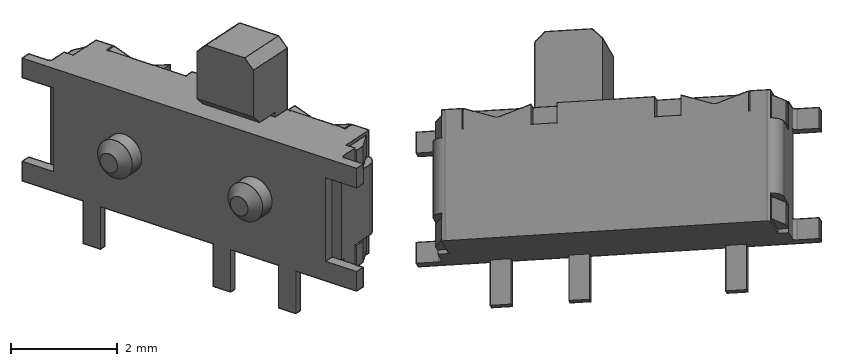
import cadquery as cq

plate_length = 7.7
plate_thickness = 0.215
housing_length = 6.7
housing_depth = 1.4
housing_height = 2.6
back_corner_radius = 0.28
tab_root_radius = 0.08
tab_height = 0.415
notch_floor_x = 3.135

peg_diameter = 0.8
peg_tip_diameter = 0.4
peg_length = 0.5
peg_cone_length = 0.2
peg_spacing = 3.0

pin_positions = (-2.25, 0.75, 2.25)
pin_width = 0.4
pin_thickness = 0.15
pin_length = 0.9

actuator_left = 0.1
actuator_width = 1.3
actuator_height = 1.49
actuator_front = 0.1
actuator_back = 1.2
actuator_chamfer = 0.2
stem_front = 0.8
stem_height = 0.1

pocket_floor_x = 3.14
pocket_depth = 0.75
pocket_height = 0.555
latch_height = 0.45
latch_edge_gap = 0.07
latch_ramp_start = 0.09
latch_ramp_end = 0.49
latch_end = 0.7

recess_outer_x = 2.75
recess_inner_x = 0.93
recess_width = 0.21
recess_floor_depth = 0.4
tooth_gap = 0.02
tooth_length = 1.29
tooth_valley_depth = 0.22
tooth_valley_radius = 0.2


def box(x_range, y_range, z_range):
    """Axis-aligned block spanning the three given ranges."""
    lengths = [high - low for low, high in (x_range, y_range, z_range)]
    corner = (x_range[0], y_range[0], z_range[0])
    return cq.Workplane("XY").box(*lengths, centered=False).translate(corner)


def mirror_pair(right_half):
    """The given solid together with its mirror image across X = 0."""
    return right_half.union(right_half.mirror("YZ"))


def make_housing():
    plate = box(
        (-plate_length / 2, plate_length / 2), (0, plate_thickness), (0, housing_height)
    )
    block = box(
        (-housing_length / 2, housing_length / 2), (0, housing_depth), (0, housing_height)
    )
    housing = plate.union(block)
    housing = housing.edges("|Z and >Y").fillet(back_corner_radius)
    margin = 0.08
    root_edges = cq.selectors.BoxSelector(
        (-housing_length / 2 - margin, plate_thickness - margin, -margin),
        (housing_length / 2 + margin, plate_thickness + margin, housing_height + margin),
    )
    housing = housing.edges("|Z").edges(root_edges).fillet(tab_root_radius)

    tab_z = (tab_height, housing_height - tab_height)
    plate_notch = box((notch_floor_x, plate_length / 2), (0, plate_thickness), tab_z)
    root_notch = box(
        (housing_length / 2, plate_length / 2), (0, plate_thickness + tab_root_radius), tab_z
    )
    return housing.cut(mirror_pair(plate_notch.union(root_notch)))


def make_corner_pockets():
    pocket_y = (housing_depth - pocket_depth, housing_depth)
    pocket_x = (pocket_floor_x, housing_length / 2)
    lower = box(pocket_x, pocket_y, (0, pocket_height))
    upper = lower.translate((0, 0, housing_height - pocket_height))
    return mirror_pair(lower.union(upper))


def make_corner_latches():
    lower = (
        cq.Workplane("XY", origin=(0, 0, latch_edge_gap))
        .moveTo(pocket_floor_x, housing_depth - latch_ramp_start)
        .lineTo(housing_length / 2, housing_depth - latch_ramp_end)
        .lineTo(housing_length / 2, housing_depth - latch_end)
        .lineTo(pocket_floor_x, housing_depth - latch_end)
        .close()
        .extrude(latch_height)
    )
    upper = lower.translate((0, 0, housing_height - latch_height - 2 * latch_edge_gap))
    return mirror_pair(lower.union(upper))


def make_top_recesses():
    return mirror_pair(
        box(
            (recess_inner_x, recess_outer_x),
            (housing_depth - recess_width, housing_depth),
            (housing_height - recess_floor_depth, housing_height),
        )
    )


def make_top_teeth():
    floor_z = housing_height - recess_floor_depth
    tooth_outer_x = recess_outer_x - tooth_gap
    tooth_inner_x = tooth_outer_x - tooth_length
    valley_x = (tooth_outer_x + tooth_inner_x) / 2
    valley_z = housing_height - tooth_valley_depth
    tooth = (
        cq.Workplane("XZ", origin=(0, housing_depth, 0))
        .moveTo(tooth_outer_x, floor_z)
        .lineTo(tooth_outer_x, housing_height)
        .lineTo(valley_x, valley_z)
        .lineTo(tooth_inner_x, housing_height)
        .lineTo(tooth_inner_x, floor_z)
        .close()
        .extrude(recess_width)
    )
    valley_edge = cq.selectors.NearestToPointSelector(
        (valley_x, housing_depth - recess_width / 2, valley_z)
    )
    tooth = tooth.edges("|Y").edges(valley_edge).fillet(tooth_valley_radius)
    return mirror_pair(tooth)


def make_pegs():
    peg = (
        cq.Workplane("XZ", origin=(peg_spacing / 2, 0, housing_height / 2))
        .circle(peg_diameter / 2)
        .extrude(peg_length)
        .faces("<Y")
        .chamfer(peg_cone_length, (peg_diameter - peg_tip_diameter) / 2)
    )
    return mirror_pair(peg)


def make_pin(center_x):
    return box(
        (center_x - pin_width / 2, center_x + pin_width / 2),
        (0, pin_thickness),
        (-pin_length, 0),
    )


def make_actuator():
    knob = box(
        (actuator_left, actuator_left + actuator_width),
        (actuator_front, actuator_back),
        (housing_height + stem_height, housing_height + actuator_height),
    )
    knob = knob.edges("|Y and >Z").chamfer(actuator_chamfer)
    knob = knob.edges("|X and <Y and <Z").chamfer(actuator_chamfer)
    stem = box(
        (actuator_left, actuator_left + actuator_width),
        (stem_front, actuator_back),
        (housing_height, housing_height + stem_height),
    )
    return knob.union(stem)


result = make_housing().cut(make_corner_pockets()).union(make_corner_latches())
result = result.cut(make_top_recesses()).union(make_top_teeth())
result = result.union(make_pegs()).union(make_actuator())
for pin_x in pin_positions:
    result = result.union(make_pin(pin_x))